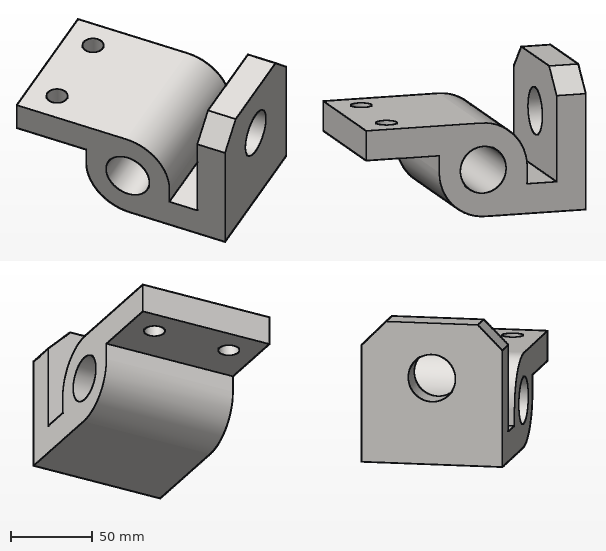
import cadquery as cq

length = 141.8
width = 88.6
height = 88.6

thickness = 18.9
plate_top = 59.1
barrel_left = 47.2
barrel_right = 104.0
barrel_radius = plate_top / 2
bore_diameter = 29.5

mount_hole_diameter = 13.0
mount_hole_x = 18.9
mount_hole_spacing = 52.0

wall_hole_diameter = 29.6
wall_hole_height = 54.2
wall_chamfer = 15.5

wall_left = length - thickness
plate_bottom = plate_top - thickness
barrel_center_x = (barrel_left + barrel_right) / 2
barrel_center_z = plate_top / 2


def make_body():
    """Extrude the stepped profile along Y, centred on the XZ plane."""
    profile = (
        cq.Workplane("XZ")
        .moveTo(0, plate_bottom)
        .lineTo(0, plate_top)
        .lineTo(barrel_right - barrel_radius, plate_top)
        .radiusArc((barrel_right, plate_top - barrel_radius), barrel_radius)
        .lineTo(barrel_right, thickness)
        .lineTo(wall_left, thickness)
        .lineTo(wall_left, height)
        .lineTo(length, height)
        .lineTo(length, 0)
        .lineTo(barrel_left + barrel_radius, 0)
        .radiusArc((barrel_left, barrel_radius), barrel_radius)
        .lineTo(barrel_left, plate_bottom)
        .close()
    )
    return profile.extrude(width / 2, both=True)


def chamfer_wall(body):
    """Bevel the two upper corners of the upright wall."""
    top_corners = body.faces(">Z").edges("|X")
    return top_corners.chamfer(wall_chamfer)


def make_bore():
    return (
        cq.Workplane("XZ")
        .center(barrel_center_x, barrel_center_z)
        .circle(bore_diameter / 2)
        .extrude(width / 2, both=True)
    )


def make_mount_holes():
    half_spacing = mount_hole_spacing / 2
    return (
        cq.Workplane("XY", origin=(0, 0, plate_bottom))
        .pushPoints([(mount_hole_x, side * half_spacing) for side in (-1, 1)])
        .circle(mount_hole_diameter / 2)
        .extrude(thickness)
    )


def make_wall_hole():
    return (
        cq.Workplane("YZ", origin=(wall_left, 0, wall_hole_height))
        .circle(wall_hole_diameter / 2)
        .extrude(thickness)
    )


result = (
    chamfer_wall(make_body())
    .cut(make_bore())
    .cut(make_mount_holes())
    .cut(make_wall_hole())
)